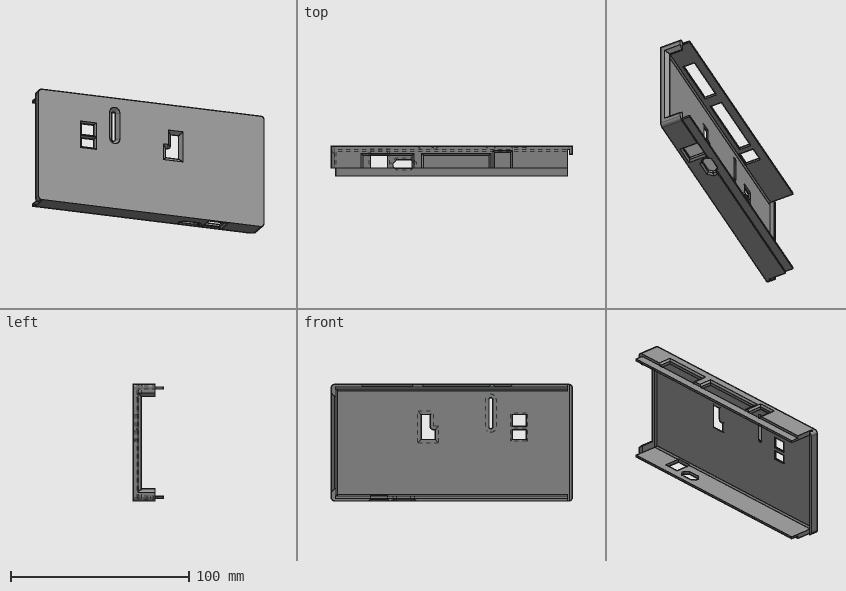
import cadquery as cq
length = 135.3
height = 65.5
shell_depth = 12.3
total_depth = 16.9
corner_radius = 2.0
floor_thickness = 2.0
wall_thickness = 2.7
inner_chamfer = 1.0

wall_end = 132.6
tongue_start = 2.6
tongue_inset = 1.5

hook_thickness = 1.6
hook_depth = 4.6
hook_inside = length - hook_thickness

notch_inset = 4.9
notch_bevel = 2.0

wall_bevel = 1.1

top_openings = [
    (17.9, 45.3, 5.3),
    (51.8, 88.6, 5.3),
    (91.7, 100.7, 3.5),
]

socket_left = 22.2
socket_right = 31.5
socket_back = 2.7
socket_front = 12.2
plug_left = 34.8
plug_right = 46.7
plug_back = 7.7
plug_front = 13.5
plug_corner = 2.0

ledge_low = 34.6
ledge_mid = 39.9
ledge_high = 48.5
ell_left = 50.6
ell_step = 55.5
ell_right = 58.3
window_left = 101.6
window_right = 109.3
window_gap = 2.0
window_bevel = 1.0
slot_center = 89.5
slot_width = 2.0
slot_bottom = 40.6
slot_top = 57.9


def block(x_range, depth_range, z_range):
    """Box between two X values, two depths below the back face and two Z values."""
    (x0, x1), (d0, d1), (z0, z1) = x_range, depth_range, z_range
    return cq.Workplane("XY").box(x1 - x0, d1 - d0, z1 - z0, centered=False).translate((x0, -d1, z0))


def rectangle(left, right, low, high):
    return [(left, low), (right, low), (right, high), (left, high)]


def octagon(left, right, low, high, corner):
    return [
        (left + corner, low), (right - corner, low), (right, low + corner), (right, high - corner),
        (right - corner, high), (left + corner, high), (left, high - corner), (left, low + corner),
    ]


def polygon(plane, points):
    return cq.Workplane(plane).polyline(points).close().val()


def beveled_hole(plane, outline, thickness, bevel):
    """Cutter through a wall whose outer face is the plane, widened at 45 degrees toward that face."""
    straight = cq.Workplane(plane).add(outline).toPending().extrude(thickness)
    mouth = cq.Workplane(plane).add(outline).toPending().offset2D(bevel, "intersection")
    return straight.union(mouth.extrude(bevel, taper=45))


def tray():
    outer = block((0, length), (0, shell_depth), (0, height)).edges("|Y").fillet(corner_radius)
    cavity = block(
        (wall_thickness, hook_inside),
        (floor_thickness, total_depth),
        (wall_thickness, height - wall_thickness),
    )
    cavity = cavity.faces(">Y").edges("<X or <Z or >Z").chamfer(inner_chamfer)
    return outer.cut(cavity)


def right_end_relief():
    """Material removed past the long walls, leaving only the hooked flange."""
    gap = block((wall_end, hook_inside), (floor_thickness, total_depth), (0, height))
    above_hook = block((wall_end, length), (hook_depth, total_depth), (0, height))
    return gap.union(above_hook)


def left_notch():
    inner_inset = notch_inset + notch_bevel
    outer_depth = hook_depth - notch_bevel
    outer = rectangle(-total_depth, -outer_depth, notch_inset, height - notch_inset)
    inner = rectangle(-total_depth, -hook_depth, inner_inset, height - inner_inset)
    bevel = (
        cq.Workplane("YZ").polyline(outer).close()
        .workplane(offset=notch_bevel).polyline(inner).close()
        .loft(ruled=True)
    )
    throat = block(
        (notch_bevel, wall_thickness + inner_chamfer),
        (hook_depth, total_depth),
        (inner_inset, height - inner_inset),
    )
    return bevel.union(throat)


def top_opening(left, right, back):
    outline = polygon("XY", rectangle(left, right, -total_depth, -back))
    hole = beveled_hole("XY", outline, wall_thickness, wall_bevel)
    return hole.mirror("XY", (0, 0, height / 2))


def bottom_openings():
    socket = polygon("XY", rectangle(socket_left, socket_right, -socket_front, -socket_back))
    plug = polygon("XY", octagon(plug_left, plug_right, -plug_front, -plug_back, plug_corner))
    cut_depth = wall_thickness + inner_chamfer
    return [beveled_hole("XY", outline, cut_depth, wall_bevel) for outline in (socket, plug)]


def tongues():
    lower = block((tongue_start, wall_end), (shell_depth, total_depth), (tongue_inset, wall_thickness))
    return lower, lower.mirror("XY", (0, 0, height / 2))


def floor_cutouts():
    ell = polygon("XZ", [
        (ell_left, ledge_low), (ell_right, ledge_low), (ell_right, ledge_mid),
        (ell_step, ledge_mid), (ell_step, ledge_high), (ell_left, ledge_high),
    ])
    slot = (
        cq.Workplane("XZ").center(slot_center, (slot_bottom + slot_top) / 2)
        .slot2D(slot_top - slot_bottom, slot_width, 90).val()
    )
    lower_window = polygon("XZ", rectangle(window_left, window_right, ledge_low, ledge_mid))
    upper_window = polygon("XZ", rectangle(window_left, window_right, ledge_mid + window_gap, ledge_high))
    outlines = [
        (ell, floor_thickness),
        (slot, floor_thickness),
        (lower_window, window_bevel),
        (upper_window, window_bevel),
    ]
    return [beveled_hole("XZ", outline, floor_thickness, bevel) for outline, bevel in outlines]


result = tray().cut(right_end_relief()).cut(left_notch())
for left, right, back in top_openings:
    result = result.cut(top_opening(left, right, back))
for tongue in tongues():
    result = result.union(tongue)
for opening in bottom_openings() + floor_cutouts():
    result = result.cut(opening)